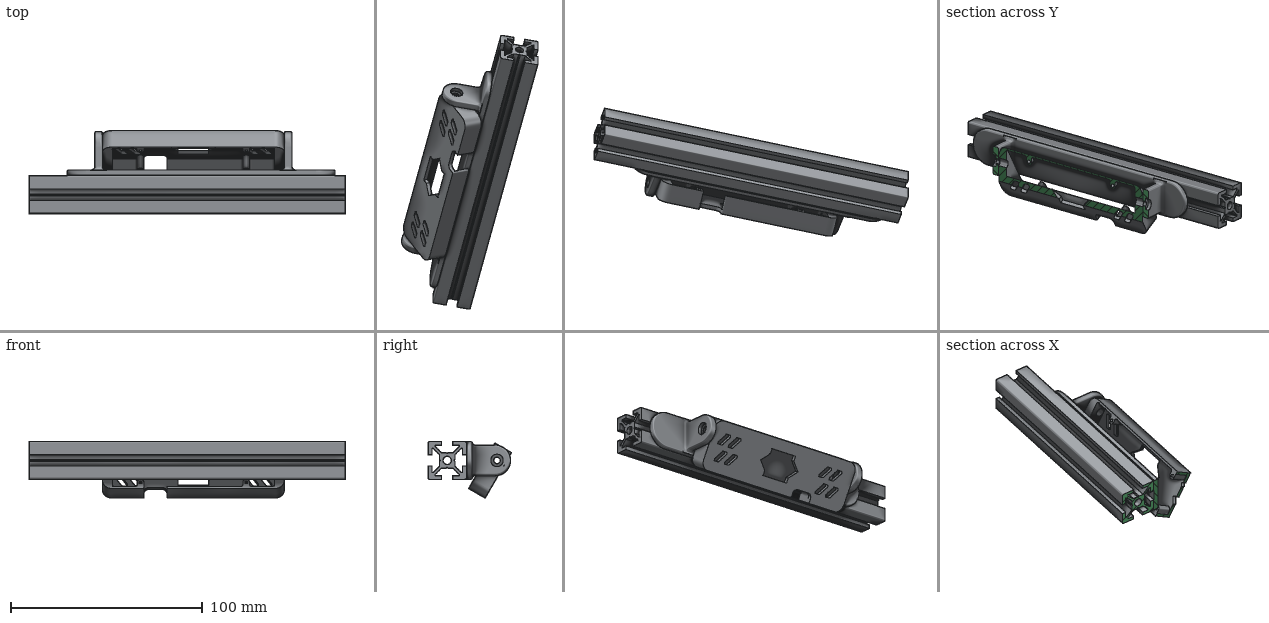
import cadquery as cq
import math

RAIL_LENGTH = 165.0
RAIL_SIZE = 20.0
RAIL_EDGE_RADIUS = 1.0
SLOT_OPENING = 5.8
SLOT_INNER_WIDTH = 12.6
LIP_THICKNESS = 2.1
CORE_SIZE = 8.2
WEB_THICKNESS = 1.5
RAIL_BORE = 4.2
SCRIBE_GROOVE_DEPTH = 0.5

PLATE_LENGTH = 140.0
PLATE_THICKNESS = 3.0
PLATE_CENTER_X = 7.25
PLATE_EDGE_RADIUS = 1.0
PLATE_BACK_CHAMFER = 0.3
EAR_CENTER_X = 3.2
EAR_SPACING = 95.0
EAR_THICKNESS = 4.0
EAR_HEIGHT = 16.0
EAR_TIP_ABOVE_PLATE = 20.15
EAR_EDGE_RADIUS = 1.0
EAR_FOOT_RADIUS = 1.9
EAR_FOOT_INSET = 0.3
SCREW_HOLE = 3.3
SCREW_HEAD = 6.5
SCREW_HEAD_DEPTH = 2.0

PIVOT_Y = 26.0
TRAY_TILT = 30.0
TRAY_LENGTH = EAR_SPACING
TRAY_HEIGHT = 27.5
TRAY_TOP = 7.35
TRAY_DEPTH = 10.0
TRAY_BACK = 4.5
TRAY_CORNER_RADIUS = 5.0
FLOOR_THICKNESS = 2.1
LONG_WALL = 1.3
END_WALL = 5.2
POCKET_CORNER_RADIUS = 1.0
INSERT_HOLE = 4.7

POST_SPACING_X = 55.2
POST_SPACING_V = 20.0
POST_WIDTH = 3.6
PILOT_HOLE = 1.5
PILOT_DEPTH = 6.0

WINDOW_WIDTH = 15.9
WINDOW_HEIGHT = 14.8
WINDOW_FLARE = 4.65
WINDOW_RISE = 0.3

LOUVER_WIDTH = 3.7
LOUVER_HEIGHT = 6.2
LOUVER_ROW_GAP = 2.8
LOUVER_ROW_SHIFT = 1.2
LOUVER_OFFSET_X = 0.7
LOUVER_LEAN = 35.0
LOUVER_PITCH = 7.0
LOUVER_GROUP_SPACING = 68.4
LOUVER_CORNER_RADIUS = 0.8

NOTCH_WIDTH = 12.0
NOTCH_DEPTH = 5.2
NOTCH_CORNER_RADIUS = 2.5
NOTCH_END_RADIUS = 0.9

PICK_MARGIN = 0.1

RAIL_HALF = RAIL_SIZE / 2
PLATE_TOP_Y = RAIL_HALF + PLATE_THICKNESS
EAR_START_Y = PLATE_TOP_Y - PLATE_EDGE_RADIUS
EAR_TIP_Y = PLATE_TOP_Y + EAR_TIP_ABOVE_PLATE
TRAY_CENTER_V = TRAY_TOP - TRAY_HEIGHT / 2
TRAY_BOTTOM = TRAY_TOP - TRAY_HEIGHT
TRAY_FRONT = TRAY_BACK - TRAY_DEPTH
FLOOR_FACE = TRAY_BACK - FLOOR_THICKNESS


def slot_outline():
    """T-slot open to +Z, with a scribe groove in its floor and sides that leave 45 degree webs."""
    half_web = WEB_THICKNESS / math.sqrt(2)
    opening = SLOT_OPENING / 2
    inner = SLOT_INNER_WIDTH / 2
    lip_z = RAIL_HALF - LIP_THICKNESS
    core = CORE_SIZE / 2
    right_side = [
        (SCRIBE_GROOVE_DEPTH, core),
        (core - half_web, core),
        (inner, inner + half_web),
        (inner, lip_z),
        (opening, lip_z),
        (opening, RAIL_SIZE),
    ]
    left_side = [(-y, z) for y, z in reversed(right_side)]
    groove_bottom = (0, core - SCRIBE_GROOVE_DEPTH)
    return right_side + left_side + [groove_bottom]


def build_rail():
    rail = (
        cq.Workplane("YZ")
        .rect(RAIL_SIZE, RAIL_SIZE)
        .extrude(RAIL_LENGTH / 2, both=True)
        .edges("|X")
        .fillet(RAIL_EDGE_RADIUS)
    )
    slot = cq.Workplane("YZ").polyline(slot_outline()).close().extrude(RAIL_LENGTH, both=True)
    for quarter in range(4):
        rail = rail.cut(slot.rotate((0, 0, 0), (1, 0, 0), 90 * quarter))
    bore = cq.Workplane("YZ").circle(RAIL_BORE / 2).extrude(RAIL_LENGTH, both=True)
    return rail.cut(bore)


def stadium_plate():
    """Stadium plate with a rounded front rim and a chamfered back rim."""
    return (
        cq.Workplane("XZ", origin=(PLATE_CENTER_X, RAIL_HALF, 0))
        .slot2D(PLATE_LENGTH, RAIL_SIZE)
        .extrude(-PLATE_THICKNESS)
        .faces(">Y")
        .edges()
        .fillet(PLATE_EDGE_RADIUS)
        .faces("<Y")
        .edges()
        .chamfer(PLATE_BACK_CHAMFER)
    )


def ear(center_x):
    """Round-tipped ear standing on the plate, with rounded edges."""
    half = EAR_HEIGHT / 2
    arc_center_y = EAR_TIP_Y - half
    return (
        cq.Workplane("YZ", origin=(center_x, 0, 0))
        .moveTo(EAR_START_Y, -half)
        .lineTo(arc_center_y, -half)
        .threePointArc((EAR_TIP_Y, 0), (arc_center_y, half))
        .lineTo(EAR_START_Y, half)
        .close()
        .extrude(EAR_THICKNESS / 2, both=True)
        .faces("<X or >X")
        .edges("not <Y")
        .fillet(EAR_EDGE_RADIUS)
    )


def footed_ear(center_x):
    """Ear blended into a thin pad that is sunk into the plate."""
    pad_margin = EAR_FOOT_RADIUS + EAR_FOOT_INSET
    pad_start = cq.Workplane("XZ", origin=(center_x, EAR_START_Y, 0))
    pad = pad_start.rect(EAR_THICKNESS + 2 * pad_margin, RAIL_SIZE).extrude(-PLATE_EDGE_RADIUS)
    foot_loop = cq.selectors.BoxSelector(
        (center_x - EAR_THICKNESS, PLATE_TOP_Y - PICK_MARGIN, -EAR_HEIGHT / 2 - PICK_MARGIN),
        (center_x + EAR_THICKNESS, PLATE_TOP_Y + PICK_MARGIN, EAR_HEIGHT / 2 + PICK_MARGIN),
    )
    blended = pad.union(ear(center_x)).edges(foot_loop).fillet(EAR_FOOT_RADIUS)
    trim = pad_start.rect(PLATE_LENGTH, RAIL_SIZE - 2 * EAR_FOOT_INSET).extrude(-EAR_TIP_Y)
    return blended.intersect(trim)


def build_bracket():
    bracket = stadium_plate()
    for side in (-1, 1):
        ear_x = EAR_CENTER_X + side * (EAR_SPACING + EAR_THICKNESS) / 2
        outer_x = EAR_CENTER_X + side * (EAR_SPACING / 2 + EAR_THICKNESS)
        bracket = bracket.union(footed_ear(ear_x))
        screw_start = cq.Workplane("YZ", origin=(outer_x, PIVOT_Y, 0))
        bracket = bracket.cut(screw_start.circle(SCREW_HOLE / 2).extrude(-side * EAR_THICKNESS))
        bracket = bracket.cut(screw_start.circle(SCREW_HEAD / 2).extrude(-side * SCREW_HEAD_DEPTH))
    return bracket


def prism(sketch, front, back):
    """Extrude an X-Z outline between two depths."""
    return sketch.extrude(front - back).translate((0, front, 0))


def post(side_x, side_v):
    """Round-nosed post joined to the nearest long wall."""
    x = side_x * POST_SPACING_X / 2
    v = TRAY_CENTER_V + side_v * POST_SPACING_V / 2
    reach = TRAY_HEIGHT / 2 - POST_SPACING_V / 2
    nose = prism(cq.Workplane("XZ").center(x, v).circle(POST_WIDTH / 2), TRAY_FRONT, FLOOR_FACE)
    stem = cq.Workplane("XZ").center(x, v + side_v * reach / 2).rect(POST_WIDTH, reach)
    return nose.union(prism(stem, TRAY_FRONT, FLOOR_FACE))


def tray_pocket():
    """Pocket space around the four posts, rounded wherever it meets a long wall."""
    height = TRAY_HEIGHT - 2 * LONG_WALL
    outline = cq.Workplane("XZ").center(0, TRAY_CENTER_V).rect(TRAY_LENGTH - 2 * END_WALL, height)
    pocket = prism(outline, TRAY_FRONT, FLOOR_FACE)
    for side_x in (-1, 1):
        for side_v in (-1, 1):
            pocket = pocket.cut(post(side_x, side_v))
    return pocket.edges("|Y").edges(">Z or <Z").fillet(POCKET_CORNER_RADIUS)


def pilot_hole(side_x, side_v):
    x = side_x * POST_SPACING_X / 2
    v = TRAY_CENTER_V + side_v * POST_SPACING_V / 2
    outline = cq.Workplane("XZ").center(x, v).circle(PILOT_HOLE / 2)
    return prism(outline, TRAY_FRONT, TRAY_FRONT + PILOT_DEPTH)


def window():
    """Window with a 45 degree point in the middle of each end."""
    half_width = WINDOW_WIDTH / 2
    half_height = WINDOW_HEIGHT / 2
    right_end = [
        (half_width, -half_height),
        (half_width, -WINDOW_FLARE),
        (half_width + WINDOW_FLARE, 0),
        (half_width, WINDOW_FLARE),
        (half_width, half_height),
    ]
    left_end = [(-x, v) for x, v in reversed(right_end)]
    outline = cq.Workplane("XZ").center(0, TRAY_CENTER_V + WINDOW_RISE).polyline(right_end + left_end).close()
    return prism(outline, TRAY_FRONT, TRAY_BACK)


def louver(x, v):
    """Slanted slot that leans toward -X at its top."""
    lean = LOUVER_HEIGHT / 2 * math.tan(math.radians(LOUVER_LEAN))
    half_width = LOUVER_WIDTH / 2
    half_height = LOUVER_HEIGHT / 2
    corners = [
        (lean - half_width, -half_height),
        (lean + half_width, -half_height),
        (half_width - lean, half_height),
        (-half_width - lean, half_height),
    ]
    outline = cq.Workplane("XZ").center(x, v).polyline(corners).close()
    return prism(outline, FLOOR_FACE, TRAY_BACK).edges("|Y").fillet(LOUVER_CORNER_RADIUS)


def cable_notch():
    """Notch through the lower wall and into the floor, next to the left lower post."""
    left = -POST_SPACING_X / 2 + POST_WIDTH / 2
    center_x = left + NOTCH_WIDTH / 2
    outline = cq.Workplane("XZ").center(center_x, TRAY_BOTTOM).rect(NOTCH_WIDTH, 2 * NOTCH_DEPTH)
    return prism(outline, TRAY_FRONT, TRAY_BACK).edges("|Y").fillet(NOTCH_CORNER_RADIUS)


def build_tray():
    body = cq.Workplane("XZ").center(0, TRAY_CENTER_V).rect(TRAY_LENGTH, TRAY_HEIGHT)
    tray = prism(body, TRAY_FRONT, TRAY_BACK).edges("|Y").fillet(TRAY_CORNER_RADIUS)
    tray = tray.cut(tray_pocket())
    for side_x in (-1, 1):
        for side_v in (-1, 1):
            tray = tray.cut(pilot_hole(side_x, side_v))
            row_v = TRAY_CENTER_V + side_v * (LOUVER_HEIGHT + LOUVER_ROW_GAP) / 2
            for step in (-0.5, 0.5):
                group_x = (side_x * LOUVER_GROUP_SPACING + side_v * LOUVER_ROW_SHIFT) / 2 + LOUVER_OFFSET_X
                louver_x = group_x + step * LOUVER_PITCH
                tray = tray.cut(louver(louver_x, row_v))
    tray = tray.cut(window()).cut(cable_notch())

    notch_end_x = -POST_SPACING_X / 2 + POST_WIDTH / 2 + NOTCH_WIDTH
    notch_end = cq.selectors.BoxSelector(
        (notch_end_x - PICK_MARGIN, TRAY_FRONT - PICK_MARGIN, TRAY_BOTTOM - PICK_MARGIN),
        (notch_end_x + PICK_MARGIN, TRAY_BACK + PICK_MARGIN, TRAY_BOTTOM + PICK_MARGIN),
    )
    tray = tray.edges(notch_end).edges("|Y").fillet(NOTCH_END_RADIUS)

    tray = tray.cut(cq.Workplane("YZ").circle(INSERT_HOLE / 2).extrude(TRAY_LENGTH, both=True))
    tilted = tray.rotate((0, 0, 0), (1, 0, 0), -TRAY_TILT)
    return tilted.translate((EAR_CENTER_X, PIVOT_Y, 0))


rail = build_rail().solids()
bracket = build_bracket().solids()
tray = build_tray().solids()

result = cq.Compound.makeCompound([rail.val(), bracket.val(), tray.val()])